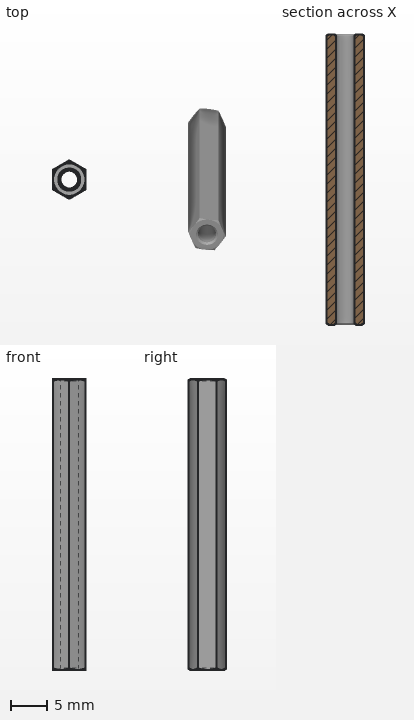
import cadquery as cq
import math

length = 40.0
across_corners = 5.2
across_flats = across_corners * math.cos(math.radians(30))

bore_diameter = 2.5
mouth_diameter = 3.0
mouth_depth = (mouth_diameter - bore_diameter) / 2

end_face_diameter = across_flats
corner_chamfer_angle = 30.0
corner_radial_trim = (across_corners - end_face_diameter) / 2
corner_chamfer_height = corner_radial_trim * math.tan(math.radians(corner_chamfer_angle))


def hexagonal_bar():
    """Hexagonal prism with corners on the Y axis and flats facing X."""
    return cq.Workplane("XY").polygon(6, across_corners).extrude(length).rotate((0, 0, 0), (0, 0, 1), 30)


def double_ended_revolve(end_radius, middle_radius, taper_height):
    """Full-length round bar whose radius changes conically at both ends."""
    profile = [
        (0, 0),
        (end_radius, 0),
        (middle_radius, taper_height),
        (middle_radius, length - taper_height),
        (end_radius, length),
        (0, length),
    ]
    return cq.Workplane("XZ").polyline(profile).close().revolve(360, (0, 0), (0, 1))


corner_envelope = double_ended_revolve(end_face_diameter / 2, across_corners / 2, corner_chamfer_height)
bore = double_ended_revolve(mouth_diameter / 2, bore_diameter / 2, mouth_depth)

result = hexagonal_bar().intersect(corner_envelope).cut(bore)